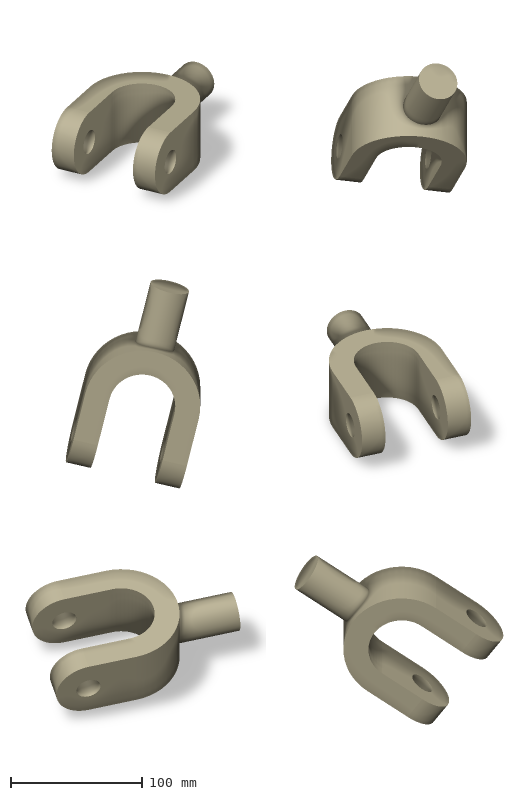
import cadquery as cq

total_length = 153.7
fork_height = 50.9
gap_width = 50.9
wall = 19.0
pin_offset = 38.1
pin_hole_diameter = 19.0
shank_diameter = 30.3

inner_radius = gap_width / 2
outer_radius = inner_radius + wall
tip_radius = fork_height / 2
tip_y = -(pin_offset + tip_radius)
shank_end_y = total_length + tip_y


def make_arch(radius):
    """Full-height block with a half-round rear end and a square front end."""
    return (
        cq.Workplane("XY", origin=(0, 0, -fork_height / 2))
        .moveTo(-radius, tip_y)
        .lineTo(-radius, 0)
        .threePointArc((0, radius), (radius, 0))
        .lineTo(radius, tip_y)
        .close()
        .extrude(fork_height)
    )


def make_side_envelope():
    """Side outline across the full width, with rounded arm tips at the front."""
    return (
        cq.Workplane("YZ", origin=(-outer_radius, 0, 0))
        .moveTo(outer_radius, tip_radius)
        .lineTo(-pin_offset, tip_radius)
        .threePointArc((tip_y, 0), (-pin_offset, -tip_radius))
        .lineTo(outer_radius, -tip_radius)
        .close()
        .extrude(2 * outer_radius)
    )


def make_shank():
    """Round shank running from the bend axis to the rear end."""
    return cq.Workplane("XZ").circle(shank_diameter / 2).extrude(-shank_end_y)


def make_pin_hole():
    """Cutter through both arms, concentric with the rounded tips."""
    return (
        cq.Workplane("YZ", origin=(-outer_radius, -pin_offset, 0))
        .circle(pin_hole_diameter / 2)
        .extrude(2 * outer_radius)
    )


body = make_arch(outer_radius).intersect(make_side_envelope()).union(make_shank())
result = body.cut(make_arch(inner_radius)).cut(make_pin_hole())